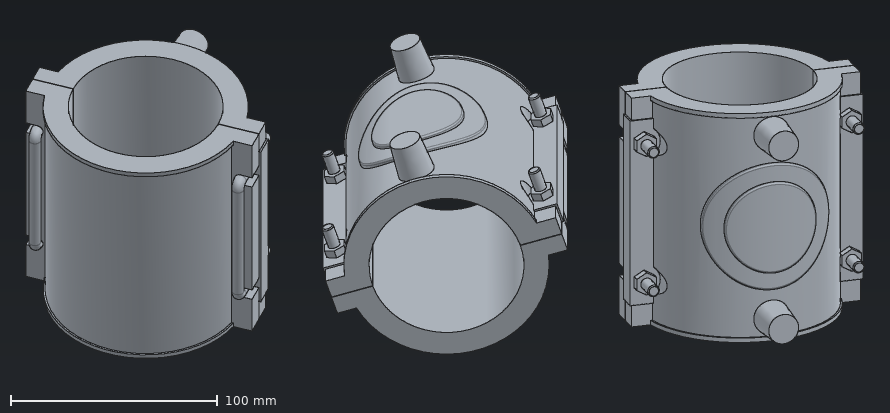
import cadquery as cq
import math

length = 118.0
bore_radius = 37.5
body_radius = 48.8
rim_radius = 49.7
rim_width = 2.4

ear_half_span = 58.5
ear_thickness = 9.5
split_gap = 0.2

plate_half_span = 59.5
plate_thickness = 10.5
plate_length = 95.2
plate_root_x = 45.2

bolt_diameter = 6.0
bolt_radius = bolt_diameter / 2
bolt_bend_radius = 3.3
bolt_x = 52.5
bolt_z = 35.7
bolt_end_y = 25.5
bolt_chamfer = 0.6
nut_across_flats = 10.0
nut_height = 4.0
nut_clearance_radius = 8.3
nut_clearance_depth = 14.3

saddle_pads = [(32.5, 50.7), (23.3, 52.5)]
pad_edge_fillet = 1.0

terminal_z = 47.2
terminal_tip_y = 66.5
terminal_base_y = 47.6
terminal_tip_radius = 7.6
terminal_base_radius = 9.0


def y_cylinder(radius, x, z, start_y, end_y):
    """Cylinder parallel to Y between two Y positions."""
    start = cq.Vector(x, start_y, z)
    return cq.Workplane(cq.Solid.makeCylinder(radius, end_y - start_y, start, cq.Vector(0, 1, 0)))


def z_cylinder(radius, height):
    """Cylinder on the Z axis, centred on the origin."""
    return cq.Workplane("XY").circle(radius).extrude(height / 2, both=True)


def make_body():
    """Solid sleeve with end rims and ears, not yet bored."""
    body = z_cylinder(body_radius, length)
    rim_offset = (length - rim_width) / 2
    for z in (-rim_offset, rim_offset):
        body = body.union(z_cylinder(rim_radius, rim_width).translate((0, 0, z)))
    return body.union(cq.Workplane("XY").box(2 * ear_half_span, 2 * ear_thickness, length))


def make_split():
    """Thin gap between the two halves, running the full length."""
    return cq.Workplane("XY").box(2 * ear_half_span, split_gap, length)


def make_plate(side):
    """Backing plate on one side (side is -1 or 1)."""
    width = plate_half_span - plate_root_x
    center_x = side * (plate_half_span + plate_root_x) / 2
    plate = cq.Workplane("XY").box(width, plate_thickness, plate_length)
    return plate.translate((center_x, plate_thickness / 2, 0))


def make_bolt_slot(side, z):
    """Slot in the -Y ear, open outwards, that lets the bolt leg swing in."""
    width = ear_half_span - bolt_x
    slot = cq.Workplane("XY").box(width, ear_thickness, bolt_diameter)
    return slot.translate((side * (bolt_x + width / 2), -ear_thickness / 2, z))


def make_u_bolt(side):
    """Two legs along Y, joined in front of the ear by a bar along Z."""
    x = side * bolt_x
    bar_half_length = bolt_z - bolt_bend_radius
    bolt = (
        cq.Workplane("XY")
        .center(x, -ear_thickness - bolt_bend_radius)
        .circle(bolt_radius)
        .extrude(bar_half_length, both=True)
    )
    for end in (-1, 1):
        leg = y_cylinder(bolt_radius, x, end * bolt_z, -ear_thickness, bolt_end_y)
        leg = leg.faces(">Y").chamfer(bolt_chamfer)
        elbow = (
            cq.Workplane("XY", origin=(x, -ear_thickness, end * bar_half_length))
            .center(0, -bolt_bend_radius)
            .circle(bolt_radius)
            .revolve(90, (0, bolt_bend_radius), (-end, bolt_bend_radius))
        )
        bolt = bolt.union(leg).union(elbow)
    return bolt


def make_nut(side, z):
    """Hexagon nut on the plate, with two corners pointing along Z."""
    across_corners = nut_across_flats / math.cos(math.pi / 6)
    nut = cq.Workplane("XY").polygon(6, across_corners).extrude(nut_height)
    nut = nut.rotate((0, 0, 0), (0, 0, 1), 90).rotate((0, 0, 0), (1, 0, 0), -90)
    return nut.translate((side * bolt_x, plate_thickness, z))


def make_nut_clearance(side, z):
    """Round pocket in the sleeve flank that gives room around the nut."""
    end_y = plate_thickness + nut_clearance_depth
    return y_cylinder(nut_clearance_radius, side * bolt_x, z, plate_thickness, end_y)


def make_saddle_pad(pad_radius, top_radius):
    """Round pad whose top follows the sleeve, with a rounded edge."""
    pad = y_cylinder(pad_radius, 0, 0, 0, rim_radius + pad_radius)
    pad = pad.intersect(z_cylinder(top_radius, length))
    return pad.faces(">Y").edges().fillet(pad_edge_fillet)


def make_terminal(z):
    """Tapered round terminal pointing along +Y."""
    height = terminal_tip_y - terminal_base_y
    base = cq.Vector(0, terminal_base_y, z)
    cone = cq.Solid.makeCone(terminal_base_radius, terminal_tip_radius, height, base, cq.Vector(0, 1, 0))
    return cq.Workplane(cone)


clamp = make_body().cut(make_split())
for pad_radius, top_radius in saddle_pads:
    clamp = clamp.union(make_saddle_pad(pad_radius, top_radius))
for z in (-terminal_z, terminal_z):
    clamp = clamp.union(make_terminal(z))

for side in (-1, 1):
    clamp = clamp.union(make_plate(side))
    for z in (-bolt_z, bolt_z):
        clamp = clamp.cut(make_bolt_slot(side, z))
        clamp = clamp.cut(make_nut_clearance(side, z))
        clamp = clamp.union(make_nut(side, z))
    clamp = clamp.union(make_u_bolt(side))

result = clamp.cut(z_cylinder(bore_radius, length))